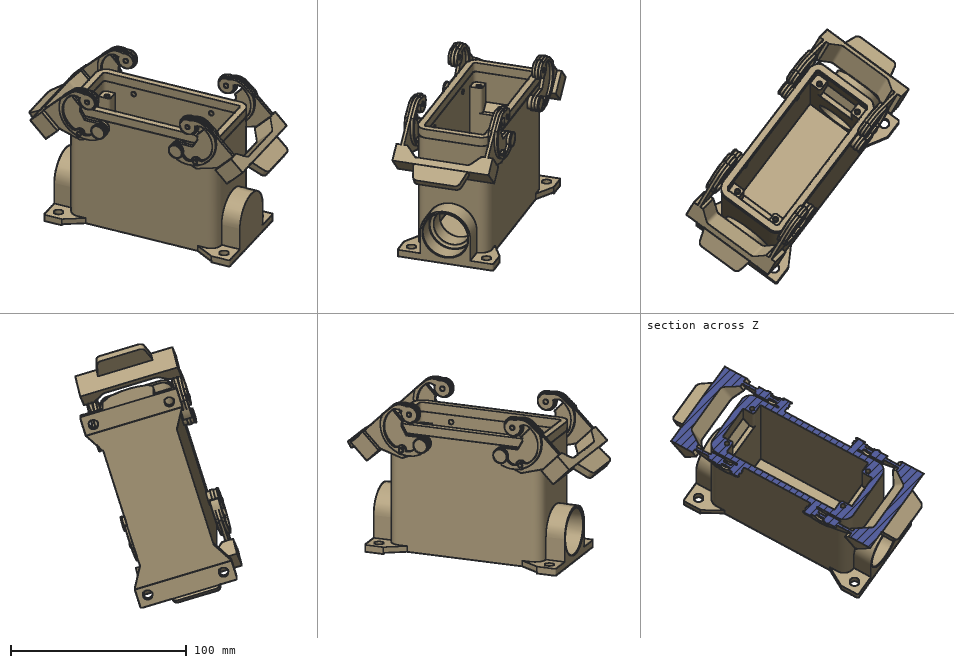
import cadquery as cq
import math

HALF_LENGTH = 47.2
HALF_WIDTH = 21.9
BODY_RADIUS = 6.5
BODY_BOTTOM = 0.7
RIM_BOTTOM = 71.9
RIM_TOP = 77.4
RIM_HALF_LENGTH = 47.3
RIM_HALF_WIDTH = 22.2

CAVITY_HALF_LENGTH = 43.15
CAVITY_HALF_WIDTH = 18.0
CAVITY_RADIUS = 2.2
RIM_CAVITY_RADIUS = 1.5
RIM_CAVITY_STEP = 0.1
LOWER_HALF_LENGTH = 36.0
FLOOR_Z = 4.0
LEDGE_Z = 49.4
RAMP_RUN = 4.2
POST_SIZE = 7.2
POST_TOP = 65.4
POST_RADIUS = 1.3
SCREW_HOLE_DIAMETER = 2.4
SCREW_HOLE_CHAMFER = 0.35
SCREW_HOLE_DEPTH = 10.0
SCREW_X = 38.9
SCREW_Y = 13.5

FOOT_X = 58.65
FOOT_HALF_WIDTH = 28.8
FOOT_INNER_X = 35.3
FOOT_TOP = 4.2
FOOT_RADIUS = 1.0
FOOT_HOLE_DIAMETER = 5.5
FOOT_HOLE_X = 52.3
FOOT_HOLE_Y = 22.6
ENTRY_Z = 17.8
ENTRY_RADIUS = 15.1
BORE_RADIUS = 13.6
BORE_CHAMFER = 0.4
BORE_DEPTH = 11.0
SEAT_RADIUS = 13.1
SEAT_FILLET = 1.2
ENTRY_HOLE_RADIUS = 11.25

INNER_LAYER_Y = 22.6
PLATE_INNER_Y = 24.4
PLATE_OUTER_Y = 26.3
OUTER_LAYER_Y = 27.9
RIVET_Y = 28.4
LEVER_HALF_WIDTH = 29.0

PIVOT = (-24.5, 67.6)
PIVOT_RADIUS = 4.35
PIVOT_NECK_RADIUS = 4.0
PIVOT_HEAD_Y = 28.2
PIVOT_EMBED = 1.0
PIVOT_HEAD_CHAMFER = 0.3
PIVOT_SOCKET_DIAMETER = 2.8
PIVOT_SOCKET_DEPTH = 0.5
HOOK = (-31.7, 85.3)
ROLLER_RADIUS = 5.6
HOOK_DIMPLE_DEPTH = 0.5
HOOK_RADIUS = 4.8
LOWER_RIVET = (-36.6, 63.4)
RIVET_RADIUS = 1.4
RIVET_CHAMFER = 0.3
RIVET_PAD_RADIUS = 2.6
LEVER_TOP = 90.94
HOOK_ARC_CENTER_X = -36.9
HOOK_ARC_RADIUS = 8.84
CHEEK_INSET = 0.4
CAM_CENTER = (-32.3, 77.5)
CAM_OUTER_RADIUS = 17.05
CAM_INNER_RADIUS = 15.25

HANDLE_CORNER = (-67.1, 64.7)
HANDLE_DEPTH = 10.3
HANDLE_HEIGHT = 14.0
BAR_THICKNESS = 4.0
BAR_HALF_WIDTH = 16.2
HANDLE_GAP_HALF_WIDTH = 22.4
BAR_BEND_RADIUS = 3.0

TAB_TIP_X = -75.745
TAB_TOP = (-66.8, 64.6)
TAB_ANGLE = 32.5
TAB_THICKNESS = 4.15
TAB_EMBED = 2.5
TAB_ROOT_HALF_WIDTH = 16.3
TAB_TIP_HALF_WIDTH = 13.7
TAB_RADIUS = 3.0


def polar(center, radius, degrees):
    """Point on a circle in the XZ plane."""
    angle = math.radians(degrees)
    return (center[0] + radius * math.cos(angle), center[1] + radius * math.sin(angle))


def box(x_range, y_range, z_range):
    """Box between the given limits."""
    size = [high - low for low, high in (x_range, y_range, z_range)]
    corner = (x_range[0], y_range[0], z_range[0])
    return cq.Workplane("XY").box(*size, centered=False).translate(corner)


def side_plane(y):
    """XZ plane on the -Y side, facing outward, at distance y from the middle."""
    return cq.Workplane("XZ", origin=(0, -y, 0))


def side_disc(center, radius, y_start, y_end):
    """Round disc lying across Y on the -Y side."""
    return side_plane(y_start).center(*center).circle(radius).extrude(y_end - y_start)


def both_ends(shape):
    """Shape together with its mirror image at the other X end."""
    return shape.union(shape.mirror("YZ"))


def both_sides(shape):
    """Shape together with its mirror image at the other Y side."""
    return shape.union(shape.mirror("XZ"))


def rounded_block(half_length, half_width, radius, bottom, top):
    """Upright block with rounded corners."""
    block = box((-half_length, half_length), (-half_width, half_width), (bottom, top))
    return block.edges("|Z").fillet(radius)


def housing_shell():
    """Body with a slightly wider rim."""
    body = rounded_block(HALF_LENGTH, HALF_WIDTH, BODY_RADIUS, BODY_BOTTOM, RIM_BOTTOM)
    rim = rounded_block(RIM_HALF_LENGTH, RIM_HALF_WIDTH, BODY_RADIUS, RIM_BOTTOM, RIM_TOP)
    return body.union(rim)


def end_block():
    """Thick lower end wall with a 45 degree ramp above its ledge."""
    ramp_foot = CAVITY_HALF_LENGTH - RAMP_RUN
    return (
        cq.Workplane("XZ", origin=(0, CAVITY_HALF_WIDTH, 0))
        .moveTo(LOWER_HALF_LENGTH, FLOOR_Z)
        .lineTo(LOWER_HALF_LENGTH, LEDGE_Z)
        .lineTo(ramp_foot, LEDGE_Z)
        .lineTo(CAVITY_HALF_LENGTH, LEDGE_Z + RAMP_RUN)
        .lineTo(CAVITY_HALF_LENGTH, FLOOR_Z)
        .close()
        .extrude(2 * CAVITY_HALF_WIDTH)
    )


def screw_post():
    """Corner post with a blind screw hole."""
    post = box(
        (LOWER_HALF_LENGTH, CAVITY_HALF_LENGTH),
        (CAVITY_HALF_WIDTH - POST_SIZE, CAVITY_HALF_WIDTH),
        (LEDGE_Z, POST_TOP),
    )
    post = post.edges("|Z and <X and <Y").fillet(POST_RADIUS)
    hole = (
        cq.Workplane("XY", origin=(SCREW_X, SCREW_Y, POST_TOP))
        .circle(SCREW_HOLE_DIAMETER / 2)
        .extrude(-SCREW_HOLE_DEPTH)
    )
    post = post.cut(hole)
    mouth = cq.selectors.RadiusNthSelector(0)
    return post.faces(">Z").edges("%CIRCLE").edges(mouth).chamfer(SCREW_HOLE_CHAMFER)


def cavity():
    """Open space inside the housing, slightly wider within the rim."""
    space = rounded_block(CAVITY_HALF_LENGTH, CAVITY_HALF_WIDTH, CAVITY_RADIUS, FLOOR_Z, RIM_BOTTOM)
    solid_end = end_block().union(both_sides(screw_post()))
    rim_space = rounded_block(
        CAVITY_HALF_LENGTH + RIM_CAVITY_STEP,
        CAVITY_HALF_WIDTH + RIM_CAVITY_STEP,
        RIM_CAVITY_RADIUS,
        RIM_BOTTOM,
        RIM_TOP,
    )
    return space.cut(both_ends(solid_end)).union(rim_space)


def mounting_foot():
    """Foot plate at the -X end, its tapering inner part raised level with the body."""
    outer = box(
        (-FOOT_X, -HALF_LENGTH), (-FOOT_HALF_WIDTH, FOOT_HALF_WIDTH), (0, FOOT_TOP)
    )
    outer = outer.edges("|Z and <X").fillet(FOOT_RADIUS)
    wing = (
        cq.Workplane("XY", origin=(0, 0, BODY_BOTTOM))
        .moveTo(-HALF_LENGTH, -FOOT_HALF_WIDTH)
        .lineTo(-FOOT_INNER_X, -HALF_WIDTH)
        .lineTo(-FOOT_INNER_X, HALF_WIDTH)
        .lineTo(-HALF_LENGTH, FOOT_HALF_WIDTH)
        .close()
        .extrude(FOOT_TOP - BODY_BOTTOM)
    )
    holes = (
        cq.Workplane("XY")
        .pushPoints([(-FOOT_HOLE_X, -FOOT_HOLE_Y), (-FOOT_HOLE_X, FOOT_HOLE_Y)])
        .circle(FOOT_HOLE_DIAMETER / 2)
        .extrude(FOOT_TOP)
    )
    return outer.union(wing).cut(holes)


def entry_boss():
    """Arched cable entry boss standing on the foot at the -X end."""
    base = box((-FOOT_X, -HALF_LENGTH), (-ENTRY_RADIUS, ENTRY_RADIUS), (0, ENTRY_Z))
    arch = (
        cq.Workplane("YZ", origin=(-FOOT_X, 0, ENTRY_Z))
        .circle(ENTRY_RADIUS)
        .extrude(FOOT_X - HALF_LENGTH)
    )
    return base.union(arch)


def entry_bore():
    """Stepped cable bore with a rounded seat, from the -X face into the cavity."""
    mouth = -FOOT_X
    seat = mouth + BORE_DEPTH
    seat_end = seat + SEAT_FILLET
    fillet_center = (seat, SEAT_RADIUS - SEAT_FILLET)
    return (
        cq.Workplane("XZ", origin=(0, 0, ENTRY_Z))
        .moveTo(mouth, 0)
        .lineTo(mouth, BORE_RADIUS + BORE_CHAMFER)
        .lineTo(mouth + BORE_CHAMFER, BORE_RADIUS)
        .lineTo(seat, BORE_RADIUS)
        .lineTo(seat, SEAT_RADIUS)
        .threePointArc(polar(fillet_center, SEAT_FILLET, 45), (seat_end, SEAT_RADIUS - SEAT_FILLET))
        .lineTo(seat_end, ENTRY_HOLE_RADIUS)
        .lineTo(-LOWER_HALF_LENGTH, ENTRY_HOLE_RADIUS)
        .lineTo(-LOWER_HALF_LENGTH, 0)
        .close()
        .revolve(360, (0, 0, 0), (1, 0, 0))
    )


def pivot_socket():
    """Shallow round mark of the pivot on the inner side wall."""
    return side_disc(
        PIVOT, PIVOT_SOCKET_DIAMETER / 2, CAVITY_HALF_WIDTH, CAVITY_HALF_WIDTH + PIVOT_SOCKET_DEPTH
    )


def housing():
    """Complete housing with feet, entries and cavity."""
    ends = both_ends(mounting_foot().union(entry_boss()))
    solid = housing_shell().union(ends).cut(cavity()).cut(entry_bore())
    return solid.cut(both_ends(both_sides(pivot_socket())))


HOOK_ARC_CENTER = (HOOK_ARC_CENTER_X, LEVER_TOP - HOOK_ARC_RADIUS)
HOOK_ARC_START = polar(HOOK_ARC_CENTER, HOOK_ARC_RADIUS, 135)
HOOK_ARC_MIDDLE = polar(HOOK_ARC_CENTER, HOOK_ARC_RADIUS, 112.5)
HOOK_ARC_TOP = polar(HOOK_ARC_CENTER, HOOK_ARC_RADIUS, 90)
CHEEK_ARC_RADIUS = HOOK_ARC_RADIUS - CHEEK_INSET
CHEEK_ARC_START = polar(HOOK_ARC_CENTER, CHEEK_ARC_RADIUS, 135)
CHEEK_ARC_MIDDLE = polar(HOOK_ARC_CENTER, CHEEK_ARC_RADIUS, 112.5)
CHEEK_ARC_TOP = polar(HOOK_ARC_CENTER, CHEEK_ARC_RADIUS, 90)
HOOK_CREST = (-31.7, 90.5)
HOOK_SHOULDER = (-30.9, 88.95)
THROAT_FRONT = (-36.9, 86.9)
THROAT_CROWN = (-39.2, 87.7)
THROAT_BACK = (-42.5, 86.4)
CAM_START_ANGLE = 160.0
CAM_END_ANGLE = -64.0
CAM_MIDDLE_ANGLE = (CAM_START_ANGLE + CAM_END_ANGLE + 360) / 2
CAM_INNER_MIDDLE_ANGLE = 190.0
CAM_INNER_END_ANGLE = 237.0
HEEL_ANGLE = -85.0
HEEL_TIP = (-36.6, 58.1)
BUMP_START = (LOWER_RIVET[0], 65.0)
BUMP_VALLEY = (-31.7, 63.0)
BUMP_END = (-28.3, 66.0)
STOP_EDGE = [(-36.3, 79.8), (-37.1, 79.0), (-37.1, 77.3), (-34.0, RIM_BOTTOM)]
HANDLE_DIAGONAL = math.sqrt(0.5)
HANDLE_TOP = (
    HANDLE_CORNER[0] + HANDLE_DEPTH * HANDLE_DIAGONAL,
    HANDLE_CORNER[1] + HANDLE_DEPTH * HANDLE_DIAGONAL,
)
HANDLE_HEEL = (
    HANDLE_TOP[0] + HANDLE_HEIGHT * HANDLE_DIAGONAL,
    HANDLE_TOP[1] - HANDLE_HEIGHT * HANDLE_DIAGONAL,
)


def lever_plate():
    """Middle plate of an arm, from the handle to the roller and the pivot."""
    plate = (
        side_plane(PLATE_INNER_Y)
        .moveTo(*HANDLE_TOP)
        .lineTo(*HOOK_ARC_START)
        .threePointArc(HOOK_ARC_MIDDLE, HOOK_ARC_TOP)
        .lineTo(*HOOK_CREST)
        .lineTo(*HOOK)
        .lineTo(*THROAT_FRONT)
        .threePointArc(THROAT_CROWN, THROAT_BACK)
        .polyline(STOP_EDGE, includeCurrent=True)
        .lineTo(PIVOT[0], RIM_BOTTOM)
        .lineTo(*polar(CAM_CENTER, CAM_OUTER_RADIUS, CAM_END_ANGLE))
        .threePointArc(
            polar(CAM_CENTER, CAM_OUTER_RADIUS, (CAM_END_ANGLE + HEEL_ANGLE) / 2),
            polar(CAM_CENTER, CAM_OUTER_RADIUS, HEEL_ANGLE),
        )
        .lineTo(*HEEL_TIP)
        .lineTo(*HANDLE_HEEL)
        .close()
        .extrude(PLATE_OUTER_Y - PLATE_INNER_Y)
    )
    roller = side_disc(HOOK, ROLLER_RADIUS, PLATE_INNER_Y, PLATE_OUTER_Y)
    eye = side_disc(PIVOT, PIVOT_RADIUS, PLATE_INNER_Y, PLATE_OUTER_Y)
    return plate.union(roller).union(eye)


def cheek(y_start, y_end):
    """C-shaped cover layer beside the middle plate."""
    band = (
        side_plane(y_start)
        .moveTo(*polar(CAM_CENTER, CAM_OUTER_RADIUS, CAM_END_ANGLE))
        .threePointArc(
            polar(CAM_CENTER, CAM_OUTER_RADIUS, CAM_MIDDLE_ANGLE),
            polar(CAM_CENTER, CAM_OUTER_RADIUS, CAM_START_ANGLE),
        )
        .lineTo(*CHEEK_ARC_START)
        .threePointArc(CHEEK_ARC_MIDDLE, CHEEK_ARC_TOP)
        .threePointArc(HOOK_SHOULDER, (HOOK[0] + HOOK_RADIUS, HOOK[1]))
        .lineTo(*HOOK)
        .lineTo(*THROAT_FRONT)
        .threePointArc(THROAT_CROWN, THROAT_BACK)
        .threePointArc(
            polar(CAM_CENTER, CAM_INNER_RADIUS, CAM_INNER_MIDDLE_ANGLE),
            polar(CAM_CENTER, CAM_INNER_RADIUS, CAM_INNER_END_ANGLE),
        )
        .lineTo(*BUMP_START)
        .threePointArc(BUMP_VALLEY, BUMP_END)
        .lineTo(*PIVOT)
        .close()
        .extrude(y_end - y_start)
    )
    for center, radius in (
        (HOOK, HOOK_RADIUS),
        (PIVOT, PIVOT_NECK_RADIUS),
        (LOWER_RIVET, RIVET_PAD_RADIUS),
    ):
        band = band.union(side_disc(center, radius, y_start, y_end))
    return band


def rivet(center):
    """Chamfered rivet through an arm."""
    pin = side_disc(center, RIVET_RADIUS, INNER_LAYER_Y, RIVET_Y)
    return pin.faces("<Y").chamfer(RIVET_CHAMFER)


def pivot_pin():
    """Pivot from the housing wall to its wider head outside the arm."""
    neck = side_disc(PIVOT, PIVOT_NECK_RADIUS, HALF_WIDTH - PIVOT_EMBED, PIVOT_HEAD_Y)
    head = side_disc(PIVOT, PIVOT_RADIUS, PIVOT_HEAD_Y, LEVER_HALF_WIDTH)
    return neck.union(head.faces("<Y").chamfer(PIVOT_HEAD_CHAMFER))


def lever_arm():
    """Complete arm and its pivot on the -Y side, with a dimple behind the hook rivet."""
    arm = lever_plate()
    arm = arm.union(cheek(INNER_LAYER_Y, PLATE_INNER_Y))
    arm = arm.union(cheek(PLATE_OUTER_Y, OUTER_LAYER_Y))
    arm = arm.union(rivet(HOOK)).union(rivet(LOWER_RIVET)).union(pivot_pin())
    dimple = side_disc(HOOK, RIVET_RADIUS, INNER_LAYER_Y, INNER_LAYER_Y + HOOK_DIMPLE_DEPTH)
    return arm.cut(dimple)


def handle_bar():
    """U-shaped bar joining both arms, thin in the middle and deep at its ends."""
    plane = cq.Plane(
        origin=(HANDLE_CORNER[0], 0, HANDLE_CORNER[1]), xDir=(1, 0, 1), normal=(1, 0, -1)
    )
    bar = (
        cq.Workplane(plane)
        .moveTo(0, -LEVER_HALF_WIDTH)
        .lineTo(HANDLE_DEPTH, -LEVER_HALF_WIDTH)
        .lineTo(HANDLE_DEPTH, -HANDLE_GAP_HALF_WIDTH)
        .lineTo(BAR_THICKNESS, -BAR_HALF_WIDTH)
        .lineTo(BAR_THICKNESS, BAR_HALF_WIDTH)
        .lineTo(HANDLE_DEPTH, HANDLE_GAP_HALF_WIDTH)
        .lineTo(HANDLE_DEPTH, LEVER_HALF_WIDTH)
        .lineTo(0, LEVER_HALF_WIDTH)
        .close()
        .extrude(HANDLE_HEIGHT)
    )
    along_height = cq.selectors.ParallelDirSelector(plane.zDir)
    bend_limit = (BAR_HALF_WIDTH + HANDLE_GAP_HALF_WIDTH) / 2
    bends = cq.selectors.BoxSelector(
        (HANDLE_CORNER[0], -bend_limit, 0), (0, bend_limit, LEVER_TOP)
    )
    return bar.edges(along_height).edges(bends).fillet(BAR_BEND_RADIUS)


def finger_tab():
    """Tapered tab sloping down and outward from the handle bar."""
    angle = math.radians(TAB_ANGLE)
    length = (TAB_TOP[0] - TAB_TIP_X) / math.cos(angle)
    plane = cq.Plane(
        origin=(TAB_TOP[0], 0, TAB_TOP[1]),
        xDir=(-math.cos(angle), 0, -math.sin(angle)),
        normal=(math.sin(angle), 0, -math.cos(angle)),
    )
    tab = (
        cq.Workplane(plane)
        .moveTo(-TAB_EMBED, -TAB_ROOT_HALF_WIDTH)
        .lineTo(0, -TAB_ROOT_HALF_WIDTH)
        .lineTo(length, -TAB_TIP_HALF_WIDTH)
        .lineTo(length, TAB_TIP_HALF_WIDTH)
        .lineTo(0, TAB_ROOT_HALF_WIDTH)
        .lineTo(-TAB_EMBED, TAB_ROOT_HALF_WIDTH)
        .close()
        .extrude(TAB_THICKNESS)
    )
    across_thickness = cq.selectors.ParallelDirSelector(plane.zDir)
    tip_face = cq.selectors.DirectionMinMaxSelector(plane.xDir)
    return tab.faces(tip_face).edges(across_thickness).fillet(TAB_RADIUS)


def lever():
    """Locking lever at the -X end."""
    return both_sides(lever_arm()).union(handle_bar()).union(finger_tab())


result = housing().union(both_ends(lever()))